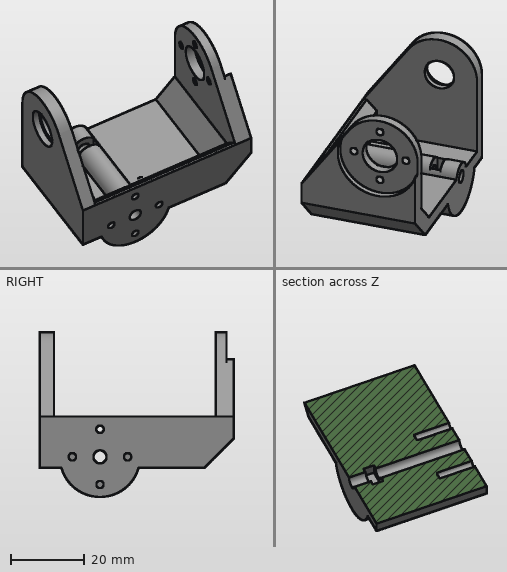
import cadquery as cq
import math

LENGTH_X = 33.0
WIDTH_Y = 53.0
FLOOR = 4.05
OUTER_BEVEL = 8.0
INNER_BEVEL = 6.0

BACK_WALL = 4.0
BACK_HEIGHT = 14.0
BACK_BEVEL = 3.0

FRONT_ARM = 4.0
REAR_ARM = 5.0
ARM_RADIUS = 10.95
PIVOT_X = ARM_RADIUS
PIVOT_Z = 26.0

FRONT_HOLE_D = 8.5
FRONT_COUNTERBORE_D = 10.5
FRONT_COUNTERBORE_DEPTH = 2.0
REAR_HOLE_D = 10.0
SEAT_RADIUS = 11.5
SEAT_DEPTH = 2.0

SCREW_D = 2.0
SCREW_CIRCLE_RADIUS = 7.5
SCREW_COUNT = 4
BARREL_SCREW_DEPTH = 10.5

BARREL_RADIUS = ARM_RADIUS
BARREL_Y = 16.5
BARREL_Z = 2.95
TUBE_D = 8.0
BORE_D = 3.5

POCKET_START_X = 5.0
POCKET_LENGTH = 3.0
POCKET_WIDTH = 6.0
POCKET_FLOOR_Z = 0.0

INNER_FRONT_Y = FRONT_ARM
INNER_REAR_Y = WIDTH_Y - REAR_ARM
TOP_Z = PIVOT_Z + ARM_RADIUS


def cylinder_x(diameter, y, z, start, length):
    """Cylinder along +X."""
    section = cq.Workplane("YZ", origin=(start, y, z)).circle(diameter / 2)
    return section.extrude(length)


def cylinder_y(diameter, x, z, start, length):
    """Cylinder along +Y."""
    section = cq.Workplane("XZ", origin=(x, start, z)).circle(diameter / 2)
    return section.extrude(-length)


def screw_positions(center_u, center_v):
    """Screw centres, evenly spaced on a circle around the given centre."""
    angles = [2 * math.pi * index / SCREW_COUNT for index in range(SCREW_COUNT)]
    return [
        (center_u + SCREW_CIRCLE_RADIUS * math.cos(angle), center_v + SCREW_CIRCLE_RADIUS * math.sin(angle))
        for angle in angles
    ]


def make_side_profile():
    """Outline common to both arms, swept across the whole width."""
    run = LENGTH_X - PIVOT_X
    drop = PIVOT_Z - BACK_HEIGHT
    corner_distance = math.hypot(run, drop)
    tangent_angle = math.acos(ARM_RADIUS / corner_distance) - math.atan2(drop, run)
    tangent_x = PIVOT_X + ARM_RADIUS * math.cos(tangent_angle)
    tangent_z = PIVOT_Z + ARM_RADIUS * math.sin(tangent_angle)
    outline = (
        cq.Workplane("XZ")
        .lineTo(LENGTH_X, 0)
        .lineTo(LENGTH_X, BACK_HEIGHT)
        .lineTo(tangent_x, tangent_z)
        .threePointArc((PIVOT_X, TOP_Z), (0, PIVOT_Z))
        .close()
    )
    return outline.extrude(-WIDTH_Y)


def make_end_profile():
    """Outer block with its lower rear edge bevelled."""
    outline = cq.Workplane("YZ").polyline([
        (0, 0),
        (WIDTH_Y - OUTER_BEVEL, 0),
        (WIDTH_Y, OUTER_BEVEL),
        (WIDTH_Y, TOP_Z),
        (0, TOP_Z),
    ])
    return outline.close().extrude(LENGTH_X)


def make_inner_space():
    """Space between the arms, above the floor and in front of the back wall."""
    end_outline = cq.Workplane("YZ").polyline([
        (INNER_FRONT_Y, FLOOR),
        (INNER_REAR_Y - INNER_BEVEL, FLOOR),
        (INNER_REAR_Y, FLOOR + INNER_BEVEL),
        (INNER_REAR_Y, TOP_Z),
        (INNER_FRONT_Y, TOP_Z),
    ])
    space = end_outline.close().extrude(LENGTH_X)

    wall_face_x = LENGTH_X - BACK_WALL
    side_outline = cq.Workplane("XZ").polyline([
        (0, 0),
        (wall_face_x, 0),
        (wall_face_x, BACK_HEIGHT - BACK_BEVEL),
        (wall_face_x + BACK_BEVEL, BACK_HEIGHT),
        (LENGTH_X, BACK_HEIGHT),
        (LENGTH_X, TOP_Z),
        (0, TOP_Z),
    ])
    return space.intersect(side_outline.close().extrude(-WIDTH_Y))


def add_barrel(body):
    """Join the barrel below floor level and the tube, then cut the bore and pocket."""
    barrel = cylinder_x(2 * BARREL_RADIUS, BARREL_Y, BARREL_Z, 0, LENGTH_X)
    below_floor_top = cq.Workplane("XY").box(LENGTH_X, WIDTH_Y, BARREL_RADIUS + FLOOR, centered=False)
    below_floor_top = below_floor_top.translate((0, 0, -BARREL_RADIUS))
    tube = cylinder_x(TUBE_D, BARREL_Y, BARREL_Z, 0, LENGTH_X)
    bore = cylinder_x(BORE_D, BARREL_Y, BARREL_Z, 0, LENGTH_X)
    pocket = cq.Workplane("XY").box(
        POCKET_LENGTH, POCKET_WIDTH, BARREL_Z + TUBE_D - POCKET_FLOOR_Z, centered=False
    )
    pocket = pocket.translate((POCKET_START_X, BARREL_Y - POCKET_WIDTH / 2, POCKET_FLOOR_Z))
    return body.union(barrel.intersect(below_floor_top)).union(tube).cut(bore).cut(pocket)


def cut_front_pivot(body):
    """Counterbored pivot hole in the front arm."""
    hole = cylinder_y(FRONT_HOLE_D, PIVOT_X, PIVOT_Z, 0, FRONT_ARM)
    counterbore = cylinder_y(FRONT_COUNTERBORE_D, PIVOT_X, PIVOT_Z, 0, FRONT_COUNTERBORE_DEPTH)
    return body.cut(hole).cut(counterbore)


def cut_rear_pivot(body):
    """Pivot hole, outer seat and ring of screw holes in the rear arm."""
    body = body.cut(cylinder_y(REAR_HOLE_D, PIVOT_X, PIVOT_Z, INNER_REAR_Y, REAR_ARM))
    body = body.cut(cylinder_y(2 * SEAT_RADIUS, PIVOT_X, PIVOT_Z, WIDTH_Y - SEAT_DEPTH, SEAT_DEPTH))
    for x, z in screw_positions(PIVOT_X, PIVOT_Z):
        body = body.cut(cylinder_y(SCREW_D, x, z, INNER_REAR_Y, REAR_ARM))
    return body


def cut_barrel_screws(body):
    """Blind screw holes from the +X face; the top one passes right through the back wall."""
    start_x = LENGTH_X - BARREL_SCREW_DEPTH
    for y, z in screw_positions(BARREL_Y, BARREL_Z):
        body = body.cut(cylinder_x(SCREW_D, y, z, start_x, BARREL_SCREW_DEPTH))
    return body


bracket = make_side_profile().intersect(make_end_profile()).cut(make_inner_space())
bracket = add_barrel(bracket)
bracket = cut_front_pivot(bracket)
bracket = cut_rear_pivot(bracket)
result = cut_barrel_screws(bracket)